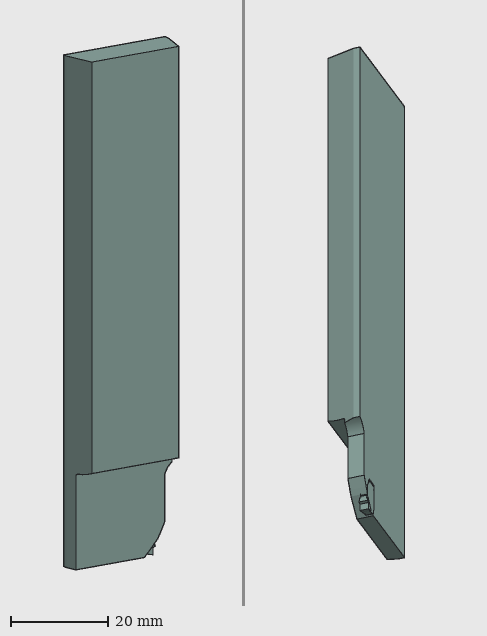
import cadquery as cq
import math

total_x = 8.1
total_y = 25.1
top_z = 110.0

face_x = 0.3
land_width = 1.3
edge_taper = 1.8
bottom_z = 0.4
neck_x = 4.0
shoulder_z = 21.0
shoulder_rise = 0.9
shoulder_mid_rise = 0.2
shoulder_fillet = 0.4

relief_top_z = 20.2
relief_end_z = 17.5
relief_sagitta = 0.28
relief_y = 22.7
nose_start_z = 7.4
nose_mid = (21.6, 5.2)
nose_end = (20.9, 4.0)
heel_y = 17.6

insert_thickness = 1.5
insert_top_z = 7.7
pocket_gap = 0.3
insert_top_front_y = 19.8
insert_top_back_y = 17.3
insert_back_y = 17.0
insert_front_y = 20.8
upper_back_z = 7.0
lower_back_z = 3.2
upper_front_z = 6.0
lower_front_z = 3.6
heel_corner = (17.5, 1.1)
heel_bottom = (17.8, 0.8)
tip_root_bottom = (19.6, bottom_z)
tip_root_top = (21.3, 2.8)
tip_bottom = (20.1, 0.2)
cutting_corner = (21.1, 0)
cutting_edge_top = (21.1, 1.5)
tip_front = (21.7, 1.8)

cut_margin = 1.1


def side_prism(start, thickness, outline):
    """Extrude a closed YZ outline towards +X from X = start."""
    return cq.Workplane("YZ", origin=(start, 0, 0)).polyline(outline).close().extrude(thickness)


def insert_outline(extra_top):
    """Outline of the seated part of the insert, with its top end raised by extra_top."""
    top = insert_top_z + extra_top
    return [
        (insert_top_front_y, top),
        (insert_top_back_y, top),
        (insert_back_y, upper_back_z),
        (insert_back_y, lower_back_z),
        heel_corner,
        heel_bottom,
        tip_root_bottom,
        tip_root_top,
        (insert_front_y, lower_front_z),
        (insert_front_y, upper_front_z),
    ]


def blade_blank():
    """Full-length bar with two tapered long edges."""
    land_x = face_x + land_width
    section = [
        (face_x, 0),
        (land_x, 0),
        (total_x, edge_taper),
        (total_x, total_y - edge_taper),
        (land_x, total_y),
        (face_x, total_y),
    ]
    return (
        cq.Workplane("XY", origin=(0, 0, bottom_z))
        .polyline(section)
        .close()
        .extrude(top_z - bottom_z)
    )


def thinning_cut():
    """Material removed from the +X side below the curved shoulder."""
    fillet_sag = shoulder_fillet * (1 - math.sqrt(0.5))
    mid_x = (neck_x + total_x) / 2
    return (
        cq.Workplane("XZ", origin=(0, total_y + cut_margin, 0))
        .moveTo(neck_x, -cut_margin)
        .lineTo(neck_x, shoulder_z - shoulder_fillet)
        .threePointArc(
            (neck_x + fillet_sag, shoulder_z - fillet_sag),
            (neck_x + shoulder_fillet, shoulder_z),
        )
        .threePointArc((mid_x, shoulder_z + shoulder_mid_rise), (total_x, shoulder_z + shoulder_rise))
        .lineTo(total_x + cut_margin, shoulder_z + shoulder_rise)
        .lineTo(total_x + cut_margin, -cut_margin)
        .close()
        .extrude(total_y + 2 * cut_margin)
    )


def edge_relief_cut():
    """Material removed along the +Y edge and around the nose, through the whole thickness."""
    arc_mid_y = (total_y + relief_y) / 2 - relief_sagitta
    arc_mid_z = (relief_top_z + relief_end_z) / 2 + relief_sagitta
    return (
        cq.Workplane("YZ")
        .moveTo(total_y + cut_margin, relief_top_z)
        .lineTo(total_y, relief_top_z)
        .threePointArc((arc_mid_y, arc_mid_z), (relief_y, relief_end_z))
        .lineTo(relief_y, nose_start_z)
        .lineTo(*nose_mid)
        .lineTo(*nose_end)
        .lineTo(heel_y, bottom_z)
        .lineTo(heel_y, -cut_margin)
        .lineTo(total_y + cut_margin, -cut_margin)
        .close()
        .extrude(total_x)
    )


def make_blade():
    pocket = side_prism(face_x, insert_thickness, insert_outline(pocket_gap))
    return blade_blank().cut(thinning_cut()).cut(edge_relief_cut()).cut(pocket)


def make_insert():
    """Seated shank flush with the blade face, plus a cutting tip standing proud of it."""
    shank = side_prism(face_x, insert_thickness, insert_outline(0))
    tip_outline = [
        tip_root_bottom,
        tip_bottom,
        cutting_corner,
        cutting_edge_top,
        tip_front,
        tip_root_top,
    ]
    tip = side_prism(0, face_x + insert_thickness, tip_outline)
    return shank.union(tip)


blade = make_blade()
insert = make_insert()
result = cq.Compound.makeCompound([blade.solids().val(), insert.solids().val()])